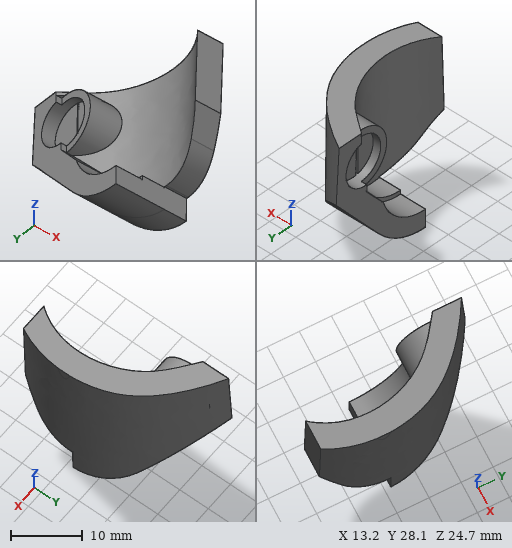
import cadquery as cq
import math

LENGTH = 28.15
WIDTH = 13.2
HEIGHT = 24.7

FOOT_FRONT_Y = 10.05
AXIS_Z = 12.22
ARM_INNER_RADIUS = 8.25
GROOVE_RADIUS = 8.95
GROOVE_WIDTH = 4.79

HEEL_Z = 14.78
ARM_FACE_Y = 21.95

NOSE_Z = 11.88
NOSE_ROUND_Y = 9.7
NOSE_ROUND_Z = 12.35
NOSE_RADIUS = 8.25

BOSS_Y = 22.1
BOSS_Z = 18.85
BOSS_RADIUS = 5.25
BOSS_START_X = 1.05
SETBACK_Y = 23.0
HOLE_RADIUS = 4.05
HOLE_DEPTH = 2.48
SLIT_Y = 21.17

OUTER_TOP = [(0, 27.55), (5.77, 23.7), (10.95, 17.85), (WIDTH, 9.85), (11.03, 0)]
OUTER_BOTTOM = [(0, 29.02), (6.0, 24.07), (10.95, 17.8), (12.78, 10.27), (10.22, 0)]
INNER_TOP = [(0, 23.03), (2.08, 21.5), (5.5, 18.52), (9.15, 10.27), (6.4, 0)]
INNER_BOTTOM = [(0, 23.9), (2.08, 22.45), (5.5, 18.95), (8.7, 10.85), (5.57, 0)]


def on_circle(center, radius, angle):
    """Point on a circle at an angle in radians."""
    return (center[0] + radius * math.cos(angle), center[1] + radius * math.sin(angle))


def round_to_bottom(point, center, radius):
    """Arc that takes a line from an outside point smoothly to the bottom of a circle.

    Returns the tangent point, the middle of the arc and its lowest point.
    """
    dy = point[0] - center[0]
    dz = point[1] - center[1]
    bottom = -math.pi / 2
    turn = math.acos(radius / math.hypot(dy, dz))
    tangent = math.atan2(dz, abs(dy)) - turn
    if dy < 0:
        tangent = -math.pi - tangent
    middle = (tangent + bottom) / 2
    return [on_circle(center, radius, angle) for angle in (tangent, middle, bottom)]


def leaning_body(top, bottom):
    """Solid from the planes X = 0 and Y = 0 out to a curved side that leans."""
    lower = cq.Workplane("XY").spline(bottom).lineTo(0, 0).close()
    upper = lower.workplane(offset=HEIGHT).spline(top).lineTo(0, 0).close()
    return upper.loft(ruled=True, combine=True)


def cylinder(y, z, radius, end_x):
    """Cylinder along X that starts at the flat face X = 0."""
    return cq.Workplane("YZ", origin=(0, y, z)).circle(radius).extrude(end_x)


def block(size, corner):
    """Box placed by its lowest corner."""
    return cq.Workplane("XY", origin=corner).box(*size, centered=False)


heel = (LENGTH, HEEL_Z)
heel_tangent, arm_outer_middle, foot_bottom = round_to_bottom(heel, (FOOT_FRONT_Y, AXIS_Z), AXIS_Z)


def side_body():
    """Whole side outline, with the foot standing below the wall's front edge."""
    nose = (0, NOSE_Z)
    tangent, middle, bottom = round_to_bottom(nose, (NOSE_ROUND_Y, NOSE_ROUND_Z), NOSE_RADIUS)
    outline = (
        cq.Workplane("YZ")
        .moveTo(0, HEIGHT)
        .lineTo(*nose)
        .lineTo(*tangent)
        .threePointArc(middle, bottom)
        .lineTo(FOOT_FRONT_Y, bottom[1])
        .lineTo(*foot_bottom)
        .threePointArc(arm_outer_middle, heel_tangent)
        .lineTo(*heel)
        .lineTo(LENGTH, HEIGHT)
    )
    return outline.close().extrude(WIDTH)


def arm_body():
    """Arm and foot, closing the space under the boss across the full width."""
    inner_corner = (ARM_FACE_Y, BOSS_Z - BOSS_RADIUS)
    tangent, middle, bottom = round_to_bottom(inner_corner, (FOOT_FRONT_Y, AXIS_Z), ARM_INNER_RADIUS)
    outline = (
        cq.Workplane("YZ")
        .moveTo(*foot_bottom)
        .threePointArc(arm_outer_middle, heel_tangent)
        .lineTo(*heel)
        .lineTo(LENGTH, BOSS_Z)
        .lineTo(ARM_FACE_Y, BOSS_Z)
        .lineTo(*inner_corner)
        .lineTo(*tangent)
        .threePointArc(middle, bottom)
    )
    return outline.close().extrude(WIDTH)


def slit_body():
    """Narrow wedge between the floor of the hole and the wall's inner side."""
    behind_floor = block((WIDTH, LENGTH, HEIGHT), (0, SLIT_Y, 0))
    return cylinder(BOSS_Y, BOSS_Z, HOLE_RADIUS, WIDTH).intersect(behind_floor).cut(curved_wall)


outer = leaning_body(OUTER_TOP, OUTER_BOTTOM)
curved_wall = outer.cut(leaning_body(INNER_TOP, INNER_BOTTOM))

hole = cylinder(BOSS_Y, BOSS_Z, HOLE_RADIUS, HOLE_DEPTH)
groove = cylinder(FOOT_FRONT_Y, AXIS_Z, GROOVE_RADIUS, GROOVE_WIDTH)

full_boss = cylinder(BOSS_Y, BOSS_Z, BOSS_RADIUS, WIDTH)
setback = full_boss.intersect(block((BOSS_START_X, SETBACK_Y, HEIGHT), (0, 0, 0)))
boss = full_boss.cut(setback).intersect(outer)
wall = curved_wall.intersect(side_body()).cut(setback)

arm = arm_body().cut(groove).intersect(outer)

result = wall.union(arm).union(boss).cut(hole).cut(slit_body())